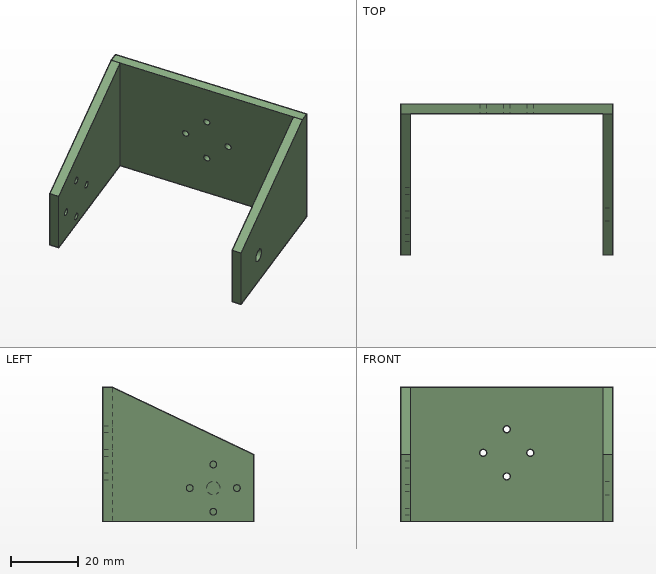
import cadquery as cq

width = 63.2
depth = 45.0
height = 40.0
thickness = 3.0
front_height = height / 2

screw_diameter = 2.0
screw_offset = 7.0
pivot_diameter = 4.0
back_pattern_height = 20.5
pivot_y = 12.1
pivot_z = front_height / 2

back_plane = cq.Workplane("XZ", origin=(0, depth, 0))
left_plane = cq.Workplane("YZ")
right_plane = cq.Workplane("YZ", origin=(width - thickness, 0, 0))


def side_plate(plane):
    """Upright plate whose top edge slopes down towards the open front."""
    outline = [
        (0, 0),
        (depth, 0),
        (depth, height),
        (depth - thickness, height),
        (0, front_height),
    ]
    return plane.polyline(outline).close().extrude(thickness)


def screw_holes(plane, center_u, center_v):
    """Four screw holes in a cross around the given center."""
    return (
        plane.center(center_u, center_v)
        .polarArray(screw_offset, 0, 360, 4)
        .circle(screw_diameter / 2)
        .extrude(thickness)
    )


back_plate = cq.Workplane("XY").box(width, thickness, height, centered=False)
back_plate = back_plate.translate((0, depth - thickness, 0))
bracket = back_plate.union(side_plate(left_plane)).union(side_plate(right_plane))

bracket = bracket.cut(screw_holes(back_plane, width / 2, back_pattern_height))
bracket = bracket.cut(screw_holes(left_plane, pivot_y, pivot_z))
pivot_hole = right_plane.center(pivot_y, pivot_z).circle(pivot_diameter / 2).extrude(thickness)

result = bracket.cut(pivot_hole)